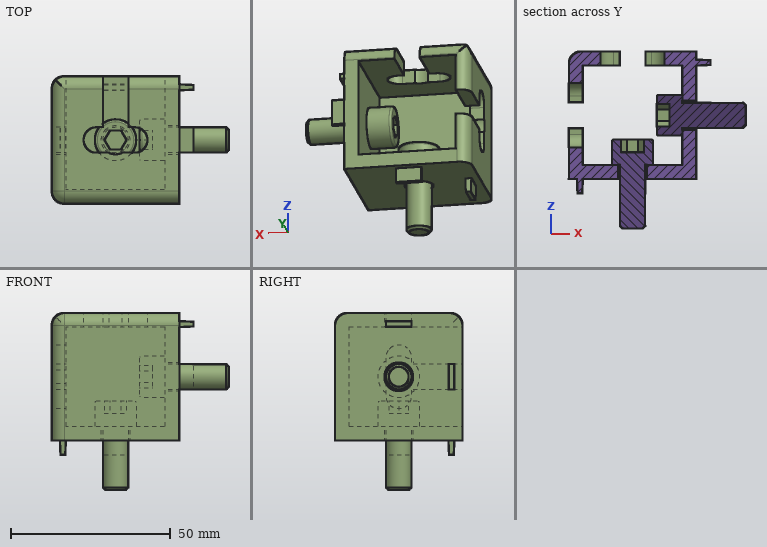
import cadquery as cq
import math

CUBE_SIDE = 40.0
EDGE_RADIUS = 4.0
WALL = 4.5
SLOT_WIDTH = 8.0
CROSS_SLOT_LENGTH = 20.0
CLEARANCE_DIAMETER = 9.0

TAB_LENGTH = 4.45
TAB_WIDTH = SLOT_WIDTH
TAB_ROOT_THICKNESS = 1.95
TAB_TIP_THICKNESS = 1.55

SHANK_DIAMETER = 8.0
SHANK_PROTRUSION = 15.5
TIP_CHAMFER = 0.9
HEAD_DIAMETER = 13.0
HEAD_HEIGHT = 8.0
HEAD_EDGE_RADIUS = 0.8
HEX_ACROSS_FLATS = 6.0
HEX_DEPTH = 4.0
HEX_SIDES = 6

HALF_SIDE = CUBE_SIDE / 2
CAVITY_HALF = HALF_SIDE - WALL
TAB_CENTRE = CAVITY_HALF + TAB_ROOT_THICKNESS / 2
SHANK_LENGTH = WALL + SHANK_PROTRUSION
HEX_CORNER_DIAMETER = HEX_ACROSS_FLATS / math.cos(math.pi / HEX_SIDES)

DIAGONAL_NORMAL = (1, 0, 1)


def with_diagonal_twin(shape):
    """Return the shape joined with its mirror image in the diagonal plane."""
    return shape.union(shape.mirror(DIAGONAL_NORMAL))


def rounded_cube():
    """Cube with a ball corner at -X, -Y, +Z and a mitred round corner at -X, +Y, +Z."""
    cube = cq.Workplane("XY").box(CUBE_SIDE, CUBE_SIDE, CUBE_SIDE)
    ball_corner_edges = "(|Z and <X and <Y) or (|Y and <X and >Z) or (|X and <Y and >Z)"
    cube = cube.edges(ball_corner_edges).fillet(EDGE_RADIUS)
    prism = (
        cq.Workplane("XY").box(CUBE_SIDE, CUBE_SIDE, CUBE_SIDE)
        .edges("|Z and <X and >Y").fillet(EDGE_RADIUS)
    )
    return cube.intersect(prism).intersect(prism.mirror(DIAGONAL_NORMAL))


def cavity():
    """Square chamber that is open at the +Y side."""
    depth = CUBE_SIDE - WALL
    return (
        cq.Workplane("XY")
        .box(2 * CAVITY_HALF, depth, 2 * CAVITY_HALF)
        .translate((0, WALL / 2, 0))
    )


def top_openings():
    """Entry slot from +Y, cross slot and round clearance hole through the top wall."""
    wall_plane = cq.Workplane("XY").workplane(offset=CAVITY_HALF)
    entry_slot = wall_plane.center(0, HALF_SIDE / 2).rect(SLOT_WIDTH, HALF_SIDE).extrude(WALL)
    cross_slot = wall_plane.slot2D(CROSS_SLOT_LENGTH, SLOT_WIDTH).extrude(WALL)
    hole = wall_plane.circle(CLEARANCE_DIAMETER / 2).extrude(WALL)
    return entry_slot.union(cross_slot).union(hole)


def bottom_bolt_hole():
    """Clearance hole for the bolt through the bottom wall."""
    return (
        cq.Workplane("XY").workplane(offset=-HALF_SIDE)
        .circle(CLEARANCE_DIAMETER / 2).extrude(WALL)
    )


def bottom_tabs():
    """Two tapered tabs under the bottom face, in line with the -X and the +Y wall."""
    tab = (
        cq.Workplane("XZ")
        .moveTo(-TAB_ROOT_THICKNESS / 2, 0)
        .lineTo(TAB_ROOT_THICKNESS / 2, 0)
        .lineTo(TAB_TIP_THICKNESS / 2, -TAB_LENGTH)
        .lineTo(-TAB_TIP_THICKNESS / 2, -TAB_LENGTH)
        .close()
        .extrude(TAB_WIDTH / 2, both=True)
    )
    left_tab = tab.translate((-TAB_CENTRE, 0, -HALF_SIDE))
    back_tab = tab.rotate((0, 0, 0), (0, 0, 1), 90).translate((0, TAB_CENTRE, -HALF_SIDE))
    return left_tab.union(back_tab)


def make_housing():
    housing = rounded_cube().cut(cavity())
    housing = housing.cut(with_diagonal_twin(top_openings()))
    housing = housing.cut(with_diagonal_twin(bottom_bolt_hole()))
    return housing.union(with_diagonal_twin(bottom_tabs()))


def make_bottom_bolt():
    """Socket head bolt along -Z, its head seated on the inside of the bottom wall."""
    seat = cq.Workplane("XY").workplane(offset=-CAVITY_HALF)
    head = seat.circle(HEAD_DIAMETER / 2).extrude(HEAD_HEIGHT).faces(">Z").edges().fillet(HEAD_EDGE_RADIUS)
    shank = seat.circle(SHANK_DIAMETER / 2).extrude(-SHANK_LENGTH).faces("<Z").edges().chamfer(TIP_CHAMFER)
    socket = (
        seat.workplane(offset=HEAD_HEIGHT)
        .polygon(HEX_SIDES, HEX_CORNER_DIAMETER).extrude(-HEX_DEPTH)
    )
    return head.union(shank).cut(socket)


housing = make_housing()
bottom_bolt = make_bottom_bolt()
side_bolt = bottom_bolt.mirror(DIAGONAL_NORMAL)

result = cq.Compound.makeCompound([housing.val(), bottom_bolt.val(), side_bolt.val()])